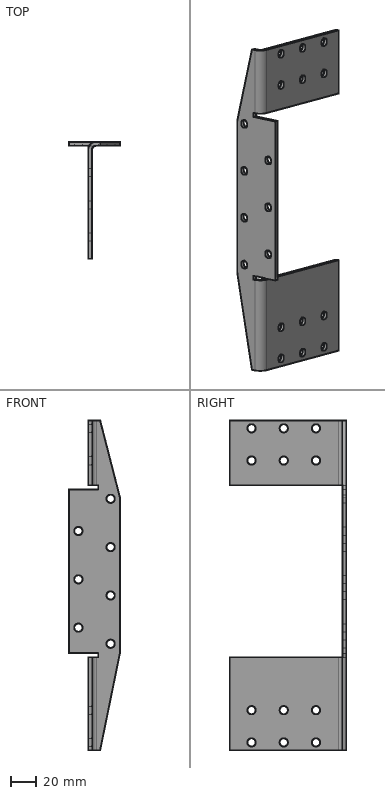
import cadquery as cq

THICKNESS = 3.175
INNER_BEND_RADIUS = 3.175
OUTER_BEND_RADIUS = INNER_BEND_RADIUS + THICKNESS

PLATE_WIDTH = 40.22
FLANGE_REACH = 92.2
HEIGHT = 260.35

FLANGE_X = 15.0
BEND_END_X = FLANGE_X + OUTER_BEND_RADIUS
UPPER_FLANGE_HEIGHT = 51.33
LOWER_FLANGE_HEIGHT = 73.555
UPPER_FLANGE_BOTTOM = HEIGHT - UPPER_FLANGE_HEIGHT

SLOT_HEIGHT = 3.175
SLOT_OVERRUN = 1.5875
SLOT_END_X = BEND_END_X + SLOT_OVERRUN
TAB_BOTTOM = LOWER_FLANGE_HEIGHT + SLOT_HEIGHT
TAB_TOP = UPPER_FLANGE_BOTTOM - SLOT_HEIGHT

TIP_OFFSET = 9.6
TIP_X = FLANGE_X + TIP_OFFSET
UPPER_TAPER_HEIGHT = 60.8
LOWER_TAPER_HEIGHT = 76.7

HOLE_DIAMETER = 6.35
HOLE_PITCH = 25.4
HOLE_EDGE_MARGIN = 6.35
FLANGE_HOLE_COLUMNS = 3
FLANGE_HOLE_ROWS = 2
FLANGE_HOLE_END_MARGIN = 17.35
PLATE_HOLE_MARGIN = 7.41
PLATE_HOLE_PITCH = 38.1
PLATE_HOLE_STAGGER = HOLE_PITCH
EDGE_COLUMN_HOLES = 4
TAB_COLUMN_HOLES = 3


def make_back_plate():
    """Flat plate in the XZ plane, back face at Y = 0, with the bends starting at its flange edges."""
    outline = [
        (BEND_END_X, 0),
        (TIP_X, 0),
        (PLATE_WIDTH, LOWER_TAPER_HEIGHT),
        (PLATE_WIDTH, HEIGHT - UPPER_TAPER_HEIGHT),
        (TIP_X, HEIGHT),
        (BEND_END_X, HEIGHT),
        (BEND_END_X, UPPER_FLANGE_BOTTOM),
        (SLOT_END_X, UPPER_FLANGE_BOTTOM),
        (SLOT_END_X, TAB_TOP),
        (0, TAB_TOP),
        (0, TAB_BOTTOM),
        (SLOT_END_X, TAB_BOTTOM),
        (SLOT_END_X, LOWER_FLANGE_HEIGHT),
        (BEND_END_X, LOWER_FLANGE_HEIGHT),
    ]
    return cq.Workplane("XZ").polyline(outline).close().extrude(THICKNESS)


def make_flange(bottom_z, height):
    """Bend and flat leg of one flange, reaching toward -Y."""
    inner_face_x = FLANGE_X + THICKNESS
    return (
        cq.Workplane("XY", origin=(0, 0, bottom_z))
        .moveTo(BEND_END_X, 0)
        .radiusArc((FLANGE_X, -OUTER_BEND_RADIUS), -OUTER_BEND_RADIUS)
        .lineTo(FLANGE_X, -FLANGE_REACH)
        .lineTo(inner_face_x, -FLANGE_REACH)
        .lineTo(inner_face_x, -OUTER_BEND_RADIUS)
        .radiusArc((BEND_END_X, -THICKNESS), INNER_BEND_RADIUS)
        .close()
        .extrude(height)
    )


def make_flange_holes(bottom_row_z):
    """Grid of drills along X through one flange."""
    first_y = -FLANGE_REACH + FLANGE_HOLE_END_MARGIN
    centres = [
        (first_y + column * HOLE_PITCH, bottom_row_z + row * HOLE_PITCH)
        for column in range(FLANGE_HOLE_COLUMNS)
        for row in range(FLANGE_HOLE_ROWS)
    ]
    return (
        cq.Workplane("YZ", origin=(FLANGE_X, 0, 0))
        .pushPoints(centres)
        .circle(HOLE_DIAMETER / 2)
        .extrude(THICKNESS)
    )


def make_plate_hole_column(x, top_z, count):
    """Vertical row of drills along Y through the back plate, listed from the top down."""
    centres = [(x, top_z - index * PLATE_HOLE_PITCH) for index in range(count)]
    return cq.Workplane("XZ").pushPoints(centres).circle(HOLE_DIAMETER / 2).extrude(THICKNESS)


lower_hole_row_z = HOLE_EDGE_MARGIN
upper_hole_row_z = HEIGHT - HOLE_EDGE_MARGIN - (FLANGE_HOLE_ROWS - 1) * HOLE_PITCH
tab_column_x = PLATE_HOLE_MARGIN
edge_column_x = PLATE_WIDTH - PLATE_HOLE_MARGIN
edge_column_top_z = TAB_TOP - PLATE_HOLE_MARGIN
tab_column_top_z = edge_column_top_z - PLATE_HOLE_STAGGER

result = (
    make_back_plate()
    .union(make_flange(0, LOWER_FLANGE_HEIGHT))
    .union(make_flange(UPPER_FLANGE_BOTTOM, UPPER_FLANGE_HEIGHT))
    .cut(make_flange_holes(lower_hole_row_z))
    .cut(make_flange_holes(upper_hole_row_z))
    .cut(make_plate_hole_column(edge_column_x, edge_column_top_z, EDGE_COLUMN_HOLES))
    .cut(make_plate_hole_column(tab_column_x, tab_column_top_z, TAB_COLUMN_HOLES))
)